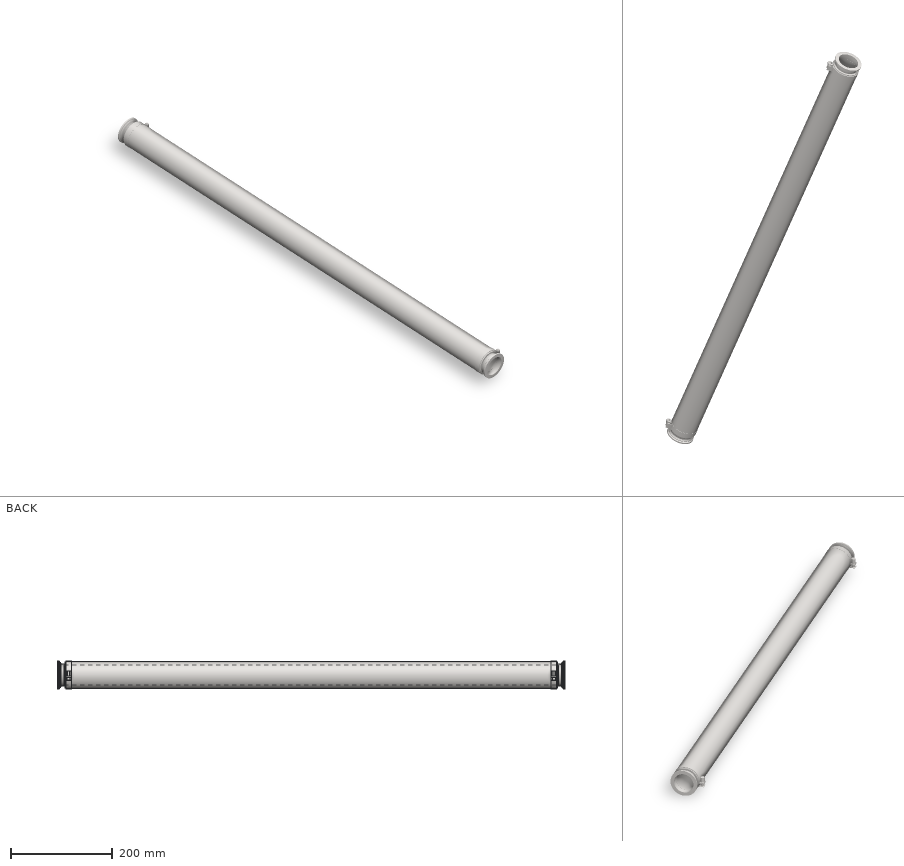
import cadquery as cq

length = 1000.0
overall_width = 64.0
pipe_radius = 27.0
half_length = length / 2

bore_radius = 20.0
mouth_step = 0.2
mouth_radius = bore_radius + mouth_step
mouth_depth = 12.0

flange_diameter = 55.0
flange_radius = flange_diameter / 2
flange_rim = 3.0
land_radius = 25.0
land_start = 4.0
land_end = 5.0
groove_radius = 22.0
groove_start = 7.0
groove_end = 14.0
shoulder_radius = 26.0

collar_radius = flange_radius
collar_start = 16.0
collar_end = 27.0

ear_width = collar_end - collar_start
ear_center = collar_start + ear_width / 2
ear_tip = overall_width - collar_radius
upper_ear_bottom = -5.0
upper_ear_top = -2.0
lower_ear_bottom = -11.0
lower_ear_top = -10.0

bolt_y = 32.0
bolt_radius = 3.0
head_across_corners = 9.0
head_top = 8.0


def pipe_body():
    """Solid of revolution about X: pipe, flanges, grooves and collars."""
    end_profile = [
        (0, flange_radius),
        (flange_rim, flange_radius),
        (land_start, land_radius),
        (land_end, land_radius),
        (groove_start, groove_radius),
        (groove_end, groove_radius),
        (groove_end, shoulder_radius),
        (collar_start, shoulder_radius),
        (collar_start, collar_radius),
        (collar_end, collar_radius),
        (collar_end, pipe_radius),
    ]
    left = [(distance - half_length, radius) for distance, radius in end_profile]
    right = [(-x, radius) for x, radius in reversed(left)]
    outline = [(-half_length, 0)] + left + right + [(half_length, 0)]
    return cq.Workplane("XY").polyline(outline).close().revolve(360, (0, 0, 0), (1, 0, 0))


def ear(center_x, bottom, top):
    """Flat clamp ear reaching from the pipe axis out to the ear tip."""
    return (
        cq.Workplane("XY", origin=(center_x, ear_tip / 2, bottom))
        .rect(ear_width, ear_tip)
        .extrude(top - bottom)
    )


def clamp_ears(center_x):
    """Pair of ears joined by the bolt that closes the collar."""
    upper_ear = ear(center_x, upper_ear_bottom, upper_ear_top)
    lower_ear = ear(center_x, lower_ear_bottom, lower_ear_top)
    shank = (
        cq.Workplane("XY", origin=(center_x, bolt_y, lower_ear_bottom))
        .circle(bolt_radius)
        .extrude(upper_ear_top - lower_ear_bottom)
    )
    head = (
        cq.Workplane("XY", origin=(center_x, bolt_y, upper_ear_top))
        .polygon(6, head_across_corners)
        .extrude(head_top - upper_ear_top)
    )
    return upper_ear.union(lower_ear).union(shank).union(head)


def bore_cylinder(start_x, radius, depth):
    """Cylinder along X used to hollow out the pipe."""
    return cq.Workplane("YZ", origin=(start_x, 0, 0)).circle(radius).extrude(depth)


result = pipe_body()
for side in (-1, 1):
    result = result.union(clamp_ears(side * (half_length - ear_center)))

result = result.cut(bore_cylinder(-half_length, bore_radius, length))
for mouth_start in (-half_length, half_length - mouth_depth):
    result = result.cut(bore_cylinder(mouth_start, mouth_radius, mouth_depth))